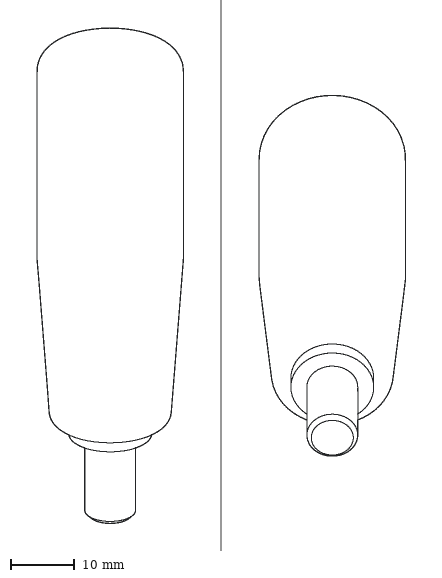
import cadquery as cq
import math

grip_diameter = 23.0
grip_length = 65.0
taper_length = 28.0
grip_bottom_diameter = 19.0
bottom_round = 1.5
shoulder_round = 3.2
dome_radius = 32.0

collar_diameter = 13.0
collar_height = 2.5
stud_diameter = 8.0
stud_length = 14.0
stud_chamfer = 0.7

grip_radius = grip_diameter / 2
grip_bottom = collar_height
grip_top = grip_bottom + grip_length
taper_top = grip_bottom + taper_length
grip_bottom_radius = grip_bottom_diameter / 2


def point_on_arc(center, radius, angle):
    """Point at the given angle from the radial direction, in the (r, z) half-plane."""
    return (center[0] + radius * math.cos(angle), center[1] + radius * math.sin(angle))


def make_grip():
    """Tapered and cylindrical body with a shoulder round tangent to the domed top."""
    dome_center = (0, grip_top - dome_radius)
    shoulder_center_radius = grip_radius - shoulder_round
    dome_angle = math.acos(shoulder_center_radius / (dome_radius - shoulder_round))
    shoulder_center = point_on_arc(dome_center, dome_radius - shoulder_round, dome_angle)
    dome_rim = point_on_arc(dome_center, dome_radius, dome_angle)
    dome_middle = point_on_arc(dome_center, dome_radius, (dome_angle + math.pi / 2) / 2)
    shoulder_middle = point_on_arc(shoulder_center, shoulder_round, dome_angle / 2)

    profile = (
        cq.Workplane("XZ")
        .moveTo(0, grip_bottom)
        .lineTo(grip_bottom_radius, grip_bottom)
        .lineTo(grip_radius, taper_top)
        .lineTo(grip_radius, shoulder_center[1])
        .threePointArc(shoulder_middle, dome_rim)
        .threePointArc(dome_middle, (0, grip_top))
        .close()
    )
    grip = profile.revolve(360, (0, 0, 0), (0, 1, 0))
    return grip.faces("<Z").edges().fillet(bottom_round)


def make_collar():
    """Plain disc that spaces the grip from the mounting surface."""
    return cq.Workplane("XY").circle(collar_diameter / 2).extrude(collar_height)


def make_stud():
    """Mounting stud pointing down, chamfered at its free end."""
    stud = cq.Workplane("XY").circle(stud_diameter / 2).extrude(-stud_length)
    return stud.faces("<Z").chamfer(stud_chamfer)


result = make_grip().union(make_collar()).union(make_stud())